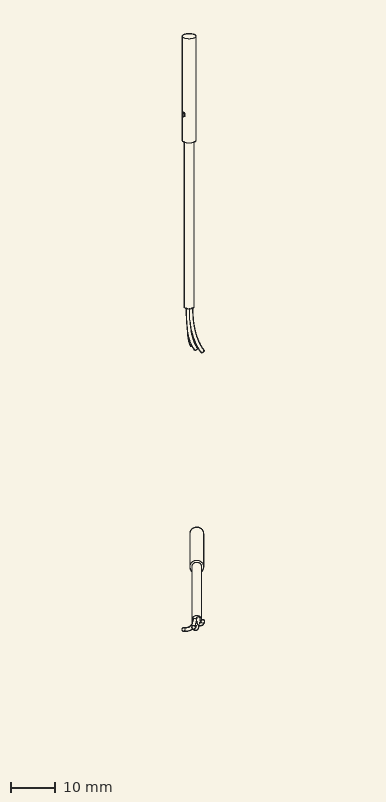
import cadquery as cq
import math

head_diameter = 3.1
head_length = 25.0
cable_diameter = 2.2
cable_length = 40.0

window_diameter = 1.0
window_depth = 0.2
window_height = 6.5

wire_diameter = 0.85
wire_embed = 1.0

side_wire_start_x = 0.44
side_wire_start_y = 0.22
side_wire_tip_y = 2.19
side_wire_tip_z = -10.40
left_wire_tip_x = -2.43
right_wire_tip_x = 2.27
side_wire_tip_slope_x = 0.40
side_wire_tip_slope_y = 0.60

middle_wire_start = (0.0, -0.28)
middle_wire_tip = (0.0, 1.77, -10.41)
middle_wire_tip_direction = (0.0, 0.70, -1.0)


def make_cable_and_head():
    cable = cq.Workplane("XY").circle(cable_diameter / 2).extrude(cable_length)
    head = cq.Workplane("XY", origin=(0, 0, cable_length)).circle(head_diameter / 2).extrude(head_length)
    return cable.union(head)


def make_window_cutter():
    window_floor_y = -(head_diameter / 2 - window_depth)
    return (
        cq.Workplane("XZ", origin=(0, window_floor_y, cable_length + window_height))
        .circle(window_diameter / 2)
        .extrude(head_diameter)
    )


def make_wire(start, tip, tip_direction):
    """Round wire with its axis running from start (X, Y) on the cable end to tip (X, Y, Z)."""
    entry = cq.Vector(*start, wire_embed)
    cable_exit = cq.Vector(*start, 0)
    straight = cq.Edge.makeLine(entry, cable_exit)
    end_directions = [cq.Vector(0, 0, -1), cq.Vector(*tip_direction)]
    bend = cq.Edge.makeSpline([cable_exit, cq.Vector(*tip)], tangents=end_directions)
    path = cq.Workplane(cq.Wire.assembleEdges([straight, bend]))
    profile = cq.Workplane("XY", origin=entry.toTuple()).circle(wire_diameter / 2)
    return profile.sweep(path)


def make_side_wire(tip_x):
    """Wire on the side of the bundle towards which its tip spreads."""
    side = math.copysign(1, tip_x)
    start = (side * side_wire_start_x, side_wire_start_y)
    tip = (tip_x, side_wire_tip_y, side_wire_tip_z)
    tip_direction = (side * side_wire_tip_slope_x, side_wire_tip_slope_y, -1.0)
    return make_wire(start, tip, tip_direction)


result = make_cable_and_head().cut(make_window_cutter())
result = result.union(make_wire(middle_wire_start, middle_wire_tip, middle_wire_tip_direction))
for side_tip_x in (left_wire_tip_x, right_wire_tip_x):
    result = result.union(make_side_wire(side_tip_x))